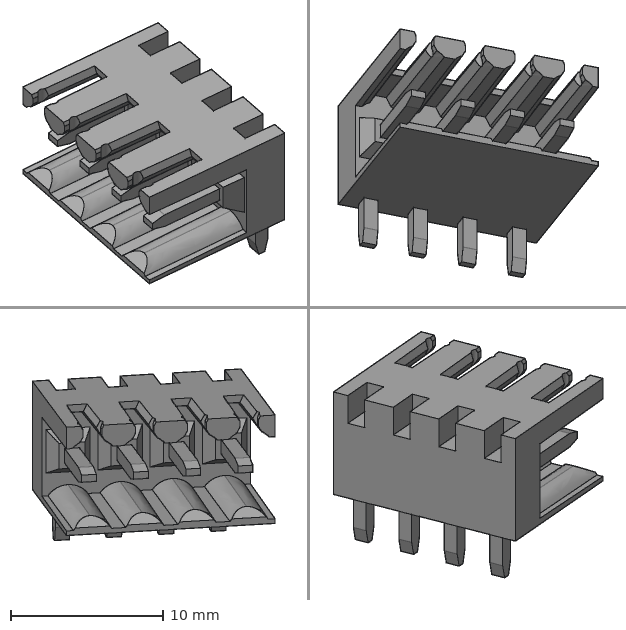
import cadquery as cq
import math


PIN_COUNT = 4
PITCH = 3.5
PIN_SIZE = 1.0
PIN_XS = [(i + 0.5) * PITCH for i in range(PIN_COUNT)]

LENGTH = PIN_COUNT * PITCH
DEPTH = 11.05
HEIGHT = 7.42
WALL_Y = 7.94
DRAFT = 0.11
OVERCUT = 1.4

FLOOR_Z = 0.43
RIDGE_HALF = 1.35
RIDGE_TOP_Z = 1.12
TOOTH_Z = 5.82
TOOTH_FOOT_HALF = 1.32
KNEE_HALF = 0.75
KNEE_Z = 6.25
CEILING_WIDTH = 0.83
CEILING_Z = 6.87
TOOTH_CORNER_RADIUS = 1.8

BEVEL_LOW_Z = 0.49
BEVEL_LENGTH = 0.85
BEVEL_HIGH_Z = 1.01

SLOT_LENGTH = 5.07
SLOT_TOP_WIDTH = 1.36
SLOT_BOTTOM_WIDTH = 0.87
SLOT_BOTTOM_Z = 6.92

NOTCH_RADIUS = 0.4
NOTCH_OFFSET = 0.45
NOTCH_Y = 0.77
TIP_GAP_HALF = 0.63

POCKET_WIDTH = 1.29
POCKET_LENGTH = 2.41
POCKET_DEPTH = 2.0

COLLAR_BASE = 2.98
COLLAR_END = 1.75
COLLAR_LENGTH = 1.29

PIN_Z = 3.49
PIN_FRONT_Y = 1.18
PIN_BACK_Y = 10.6
PIN_BOTTOM_Z = -3.23
PIN_POINT_LENGTH = 0.98
PIN_POINT_SIZE = 0.49


def arc_middle(start, end, radius):
    """Middle of the arc from start to end whose centre lies below the chord."""
    dx = end[0] - start[0]
    dz = end[1] - start[1]
    chord = math.hypot(dx, dz)
    rise = radius - math.sqrt(radius**2 - (chord / 2) ** 2)
    side = math.copysign(rise / chord, dx)
    return ((start[0] + end[0]) / 2 - dz * side, (start[1] + end[1]) / 2 + dx * side)


def drafted_cutter(section, length):
    """Ruled solid from a closed section to the mouth, growing outward with sharp corners."""
    back = section.wire().val()
    growth = DRAFT * length / WALL_Y
    front = back.offset2D(growth, "intersection")[0].translate(cq.Vector(0, -length, 0))
    return cq.Workplane(cq.Solid.makeLoft([back, front], True))


def make_cavity():
    """Space between floor and teeth, growing with draft from the back wall to the mouth."""
    section = cq.Workplane("XZ", origin=(0, WALL_Y, 0)).moveTo(-OVERCUT, FLOOR_Z)
    ceiling_half = CEILING_WIDTH / 2
    ridge_radius = (RIDGE_HALF**2 + (RIDGE_TOP_Z - FLOOR_Z) ** 2) / (2 * (RIDGE_TOP_Z - FLOOR_Z))
    for x in PIN_XS:
        left = (x - RIDGE_HALF, FLOOR_Z)
        crest = (x, RIDGE_TOP_Z)
        right = (x + RIDGE_HALF, FLOOR_Z)
        section = section.lineTo(*left)
        section = section.threePointArc(arc_middle(left, crest, ridge_radius), crest)
        section = section.threePointArc(arc_middle(crest, right, ridge_radius), right)
    section = section.lineTo(LENGTH + OVERCUT, FLOOR_Z).lineTo(LENGTH + OVERCUT, TOOTH_Z)
    for x in reversed(PIN_XS):
        right_foot = (x + TOOTH_FOOT_HALF, TOOTH_Z)
        right_knee = (x + KNEE_HALF, KNEE_Z)
        left_knee = (x - KNEE_HALF, KNEE_Z)
        left_foot = (x - TOOTH_FOOT_HALF, TOOTH_Z)
        section = section.lineTo(*right_foot)
        section = section.threePointArc(
            arc_middle(right_foot, right_knee, TOOTH_CORNER_RADIUS), right_knee
        )
        section = section.lineTo(x + ceiling_half, CEILING_Z).lineTo(x - ceiling_half, CEILING_Z)
        section = section.lineTo(*left_knee)
        section = section.threePointArc(
            arc_middle(left_knee, left_foot, TOOTH_CORNER_RADIUS), left_foot
        )
    section = section.lineTo(-OVERCUT, TOOTH_Z).close()
    return drafted_cutter(section, WALL_Y)


def make_ridge_bevel():
    """Wedge that bevels the front end of every floor ridge."""
    slope = (BEVEL_HIGH_Z - BEVEL_LOW_Z) / BEVEL_LENGTH
    wedge_top_z = 2 * RIDGE_TOP_Z
    wedge_back_y = (wedge_top_z - BEVEL_LOW_Z) / slope
    profile = [(0, BEVEL_LOW_Z), (wedge_back_y, wedge_top_z), (0, wedge_top_z)]
    return cq.Workplane("YZ").polyline(profile).close().extrude(LENGTH)


def make_slot(x):
    """Drafted slot, wider at the top, that separates two teeth."""
    bottom_half = SLOT_BOTTOM_WIDTH / 2
    flare = (SLOT_TOP_WIDTH / 2 - bottom_half) / (HEIGHT - SLOT_BOTTOM_Z)
    top_half = SLOT_TOP_WIDTH / 2 + flare * OVERCUT
    top_z = HEIGHT + OVERCUT
    section = [
        (x - bottom_half, SLOT_BOTTOM_Z),
        (x + bottom_half, SLOT_BOTTOM_Z),
        (x + top_half, top_z),
        (x - top_half, top_z),
    ]
    plane = cq.Workplane("XZ", origin=(0, SLOT_LENGTH, 0))
    return drafted_cutter(plane.polyline(section).close(), SLOT_LENGTH)


def make_tip_cutter(x):
    """Round notches in the two teeth beside a slot, and the wider gap between their tips."""
    cut_height = HEIGHT - PIN_Z
    base = cq.Workplane("XY", origin=(x, 0, PIN_Z))
    notches = (
        base.pushPoints([(-NOTCH_OFFSET, NOTCH_Y), (NOTCH_OFFSET, NOTCH_Y)])
        .circle(NOTCH_RADIUS)
        .extrude(cut_height)
    )
    gap = base.center(0, NOTCH_Y / 2).rect(2 * TIP_GAP_HALF, NOTCH_Y).extrude(cut_height)
    return notches.union(gap)


def make_pocket(x):
    """Rectangular pocket, open to the top and the back."""
    return cq.Workplane("XY").box(POCKET_WIDTH, POCKET_LENGTH, POCKET_DEPTH).translate(
        (x, DEPTH - POCKET_LENGTH / 2, HEIGHT - POCKET_DEPTH / 2)
    )


def make_collar(x):
    """Square collar that narrows along the contact leg."""
    return (
        cq.Workplane("XZ", origin=(x, WALL_Y, PIN_Z))
        .rect(COLLAR_BASE, COLLAR_BASE)
        .workplane(offset=COLLAR_LENGTH)
        .rect(COLLAR_END, COLLAR_END)
        .loft()
    )


def make_pin(x):
    """Right-angle pin: contact leg toward the mouth, solder leg down, both ends pointed."""
    half = PIN_SIZE / 2
    point_half = PIN_POINT_SIZE / 2
    solder_y = PIN_BACK_Y - half
    contact_shoulder_y = PIN_FRONT_Y + PIN_POINT_LENGTH
    solder_shoulder_z = PIN_BOTTOM_Z + PIN_POINT_LENGTH
    profile = [
        (PIN_FRONT_Y, PIN_Z + point_half),
        (contact_shoulder_y, PIN_Z + half),
        (PIN_BACK_Y, PIN_Z + half),
        (PIN_BACK_Y, solder_shoulder_z),
        (solder_y + point_half, PIN_BOTTOM_Z),
        (solder_y - point_half, PIN_BOTTOM_Z),
        (solder_y - half, solder_shoulder_z),
        (solder_y - half, PIN_Z - half),
        (contact_shoulder_y, PIN_Z - half),
        (PIN_FRONT_Y, PIN_Z - point_half),
    ]
    plane = cq.Workplane("YZ", origin=(x - half, 0, 0))
    return plane.polyline(profile).close().extrude(PIN_SIZE)


def make_housing(pins):
    """Housing with a matching hole for every pin."""
    body = cq.Workplane("XY").box(LENGTH, DEPTH, HEIGHT, centered=False)
    body = body.cut(make_cavity()).cut(make_ridge_bevel())
    for x, pin in zip(PIN_XS, pins):
        body = body.cut(make_slot(x)).cut(make_tip_cutter(x)).cut(make_pocket(x))
        body = body.union(make_collar(x)).cut(pin)
    return body


pins = [make_pin(x) for x in PIN_XS]
housing = make_housing(pins)

result = cq.Compound.makeCompound([housing.val(), *[pin.val() for pin in pins]])